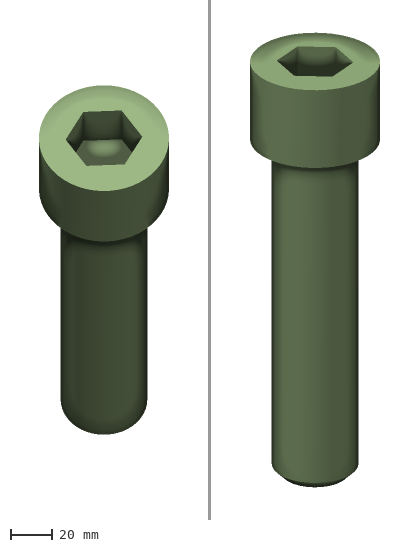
import cadquery as cq

total_length = 222.0
head_diameter = 63.0
shank_diameter = 42.0
head_height = shank_diameter
thread_length = 96.0

tip_chamfer_height = 4.7
tip_chamfer_width = 4.7
socket_across_flats = 32.2
socket_rotation = 30.0
socket_depth = 24.0

shank_length = total_length - head_height
shank_radius = shank_diameter / 2


def make_threaded_end():
    """Plain cylinder at the thread's major diameter, chamfered at the tip."""
    tip_radius = shank_radius - tip_chamfer_width
    profile = (
        cq.Workplane("XZ")
        .moveTo(0, 0)
        .lineTo(tip_radius, 0)
        .lineTo(shank_radius, tip_chamfer_height)
        .lineTo(shank_radius, thread_length)
        .lineTo(0, thread_length)
        .close()
    )
    return profile.revolve(360, (0, 0, 0), (0, 1, 0))


def make_plain_shank():
    """Unthreaded shank between the thread and the head."""
    return (
        cq.Workplane("XY", origin=(0, 0, thread_length))
        .circle(shank_radius)
        .extrude(shank_length - thread_length)
    )


def make_head():
    """Cylindrical head standing on the shank."""
    return (
        cq.Workplane("XY", origin=(0, 0, shank_length))
        .circle(head_diameter / 2)
        .extrude(head_height)
    )


def make_socket():
    """Hexagonal key socket with two flats facing +Y and -Y."""
    return (
        cq.Workplane("XY", origin=(0, 0, total_length))
        .transformed(rotate=(0, 0, socket_rotation))
        .polygon(6, socket_across_flats, circumscribed=True)
        .extrude(-socket_depth)
    )


result = (
    make_threaded_end()
    .union(make_plain_shank())
    .union(make_head())
    .cut(make_socket())
)